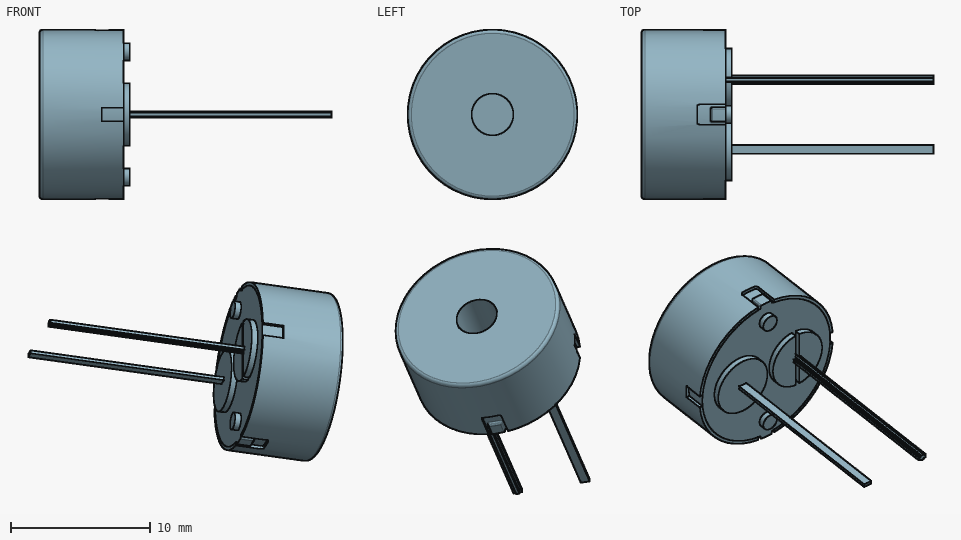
import cadquery as cq


body_radius = 6.1
body_length = 6.05
front_fillet = 0.25
wall = 0.25
sound_hole_diameter = 3.0

window_length = 2.05
window_width = 1.45
window_corner_radius = 0.2

notch_length = 1.55
notch_width = 1.0

base_radius = body_radius - wall
base_length = window_length

clip_length = 1.06
clip_width = 1.02
clip_edge_radius = 0.1

standoff_height = 0.45
pin_pad_radius = 2.25
foot_radius = 0.625
foot_offset = 4.5
pad_slot_width = 0.34

overall_length = 21.0
pin_offset = 2.5
pin_width = 0.65
pin_thickness = 0.25
ridge_foot_width = 0.34
ridge_top_width = 0.22
ridge_height = 0.1

rear_plane = cq.Workplane("YZ", origin=(body_length, 0, 0))
pin_length = overall_length - body_length


def window_cutter():
    """Block for the +Z window, open at the rear, with rounded front corners."""
    return (
        cq.Workplane("XY")
        .box(2 * window_length, window_width, 2 * body_radius, centered=(True, True, False))
        .edges("|Z")
        .fillet(window_corner_radius)
        .translate((body_length, 0, 0))
    )


def notch_cutter():
    """Block for both side notches, reaching across the housing along Y."""
    return (
        cq.Workplane("XY")
        .box(notch_length, 4 * body_radius, notch_width)
        .translate((body_length - notch_length / 2, 0, 0))
    )


def make_housing():
    housing = (
        cq.Workplane("YZ")
        .circle(body_radius)
        .extrude(body_length)
        .faces("<X")
        .edges()
        .fillet(front_fillet)
    )
    base_recess = rear_plane.circle(base_radius).extrude(-base_length)
    sound_hole = cq.Workplane("YZ").circle(sound_hole_diameter / 2).extrude(body_length)
    housing = housing.cut(base_recess).cut(sound_hole).cut(notch_cutter())
    for turn in (0, 180):
        housing = housing.cut(window_cutter().rotate((0, 0, 0), (1, 0, 0), turn))
    return housing


def make_plug():
    """Base cylinder with rounded clips at +Z and -Z that blend into it at the foot."""
    plug = rear_plane.circle(base_radius).extrude(-base_length)
    bar = (
        cq.Workplane("XY")
        .box(clip_length, clip_width, 4 * body_radius)
        .translate((body_length - clip_length / 2, 0, 0))
        .edges("|Z and <X")
        .fillet(clip_edge_radius)
    )
    clips = bar.intersect(rear_plane.circle(body_radius).extrude(-base_length))
    plug = plug.union(clips, clean=True)

    box_margin = wall / 4
    box_front = body_length - clip_length - box_margin
    box_rear = body_length - box_margin
    for level in (base_radius, body_radius):
        for side in (-1, 1):
            outline_box = cq.selectors.BoxSelector(
                (box_front, -clip_width, side * (level - box_margin)),
                (box_rear, clip_width, side * (level + box_margin)),
            )
            plug = plug.edges(outline_box).fillet(clip_edge_radius)
    return plug


def make_base(pins):
    base = make_plug()
    for y in (-pin_offset, pin_offset):
        base = base.union(rear_plane.center(y, 0).circle(pin_pad_radius).extrude(standoff_height))
    for z in (-foot_offset, foot_offset):
        base = base.union(rear_plane.center(0, z).circle(foot_radius).extrude(standoff_height))

    pad_slot = (
        rear_plane.center(pin_offset, 0)
        .rect(pad_slot_width, 2 * pin_pad_radius)
        .extrude(standoff_height)
    )
    base = base.cut(pad_slot)
    for pin in pins:
        base = base.cut(pin)
    return base


def make_flat_pin():
    return rear_plane.center(-pin_offset, 0).rect(pin_width, pin_thickness).extrude(pin_length)


def make_ridged_pin():
    """Flat pin with a tapered ridge along its upper and lower faces."""
    half_thickness = pin_thickness / 2
    ridge_top = half_thickness + ridge_height
    upper = [
        (-pin_width / 2, half_thickness),
        (-ridge_foot_width / 2, half_thickness),
        (-ridge_top_width / 2, ridge_top),
        (ridge_top_width / 2, ridge_top),
        (ridge_foot_width / 2, half_thickness),
        (pin_width / 2, half_thickness),
    ]
    lower = [(y, -z) for y, z in reversed(upper)]
    return rear_plane.center(pin_offset, 0).polyline(upper + lower).close().extrude(pin_length)


flat_pin = make_flat_pin()
ridged_pin = make_ridged_pin()
base = make_base([flat_pin, ridged_pin])
housing = make_housing()

result = cq.Compound.makeCompound([housing.val(), base.val(), flat_pin.val(), ridged_pin.val()])